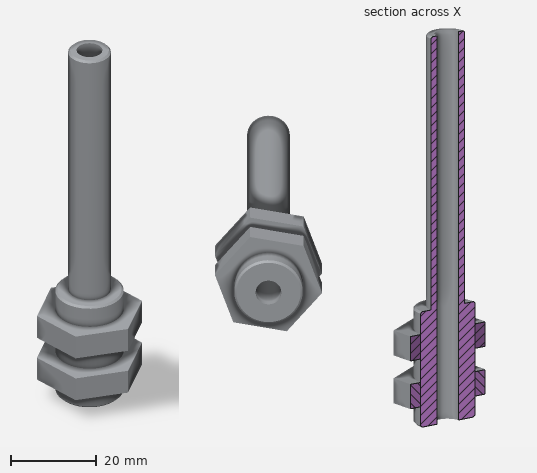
import cadquery as cq
import math

total_length = 94.0
tube_diameter = 10.0
bore_diameter = 6.0
sleeve_diameter = 16.0
sleeve_length = 28.0
edge_chamfer = 0.5

nut_across_flats = 22.0
nut_across_corners = nut_across_flats / math.cos(math.radians(30))
nut_thickness = 6.0
lower_nut_base = 5.0
nut_gap = 5.5
nut_count = 2
nut_pitch = nut_thickness + nut_gap


def cylinder(diameter, base, height):
    """Upright cylinder centred on the Z axis."""
    return cq.Workplane("XY").workplane(offset=base).circle(diameter / 2).extrude(height)


def make_stem():
    """Sleeve and tube in one piece, chamfered at the ends and bored through."""
    sleeve = cylinder(sleeve_diameter, 0, sleeve_length).edges().chamfer(edge_chamfer)
    tube = cylinder(tube_diameter, 0, total_length).faces(">Z").edges().chamfer(edge_chamfer)
    bore = cylinder(bore_diameter, 0, total_length)
    return sleeve.union(tube).cut(bore)


def make_nut(base):
    """Hexagon nut with corners on the X axis and a hole that fits the sleeve."""
    blank = (
        cq.Workplane("XY")
        .workplane(offset=base)
        .polygon(6, nut_across_corners)
        .extrude(nut_thickness)
    )
    return blank.cut(cylinder(sleeve_diameter, base, nut_thickness))


stem = make_stem()
nuts = [make_nut(lower_nut_base + i * nut_pitch) for i in range(nut_count)]

result = cq.Compound.makeCompound([stem.val(), *[nut.val() for nut in nuts]])